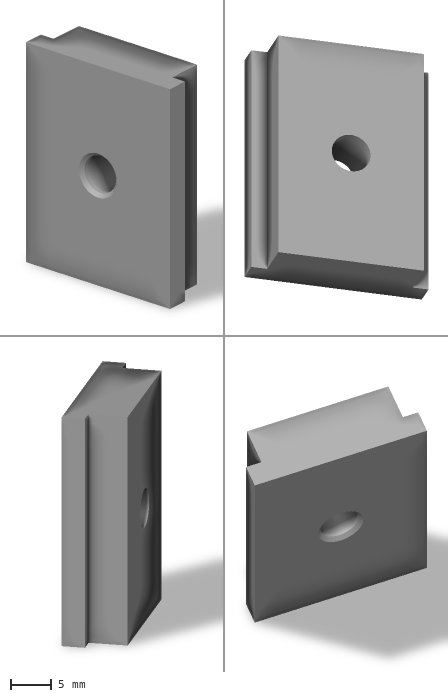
import cadquery as cq

width = 23.0
depth = 8.0
height = 30.0

flange_thickness = 3.0
body_width = 18.9

hole_diameter = 5.0
rim_diameter = 6.0
rim_chamfer = (rim_diameter - hole_diameter) / 2


def upright_block(block_width, block_depth):
    """Full-height block, centred in X and Z, with its front face on Y = 0."""
    return cq.Workplane("XY").box(block_width, block_depth, height, centered=(True, False, True))


flange = upright_block(width, flange_thickness)
body = upright_block(body_width, depth)
section = flange.union(body)

drilled = section.faces("<Y").workplane(origin=(0, 0, 0)).hole(hole_diameter)

result = drilled.faces("<Y").edges("%CIRCLE").chamfer(rim_chamfer)